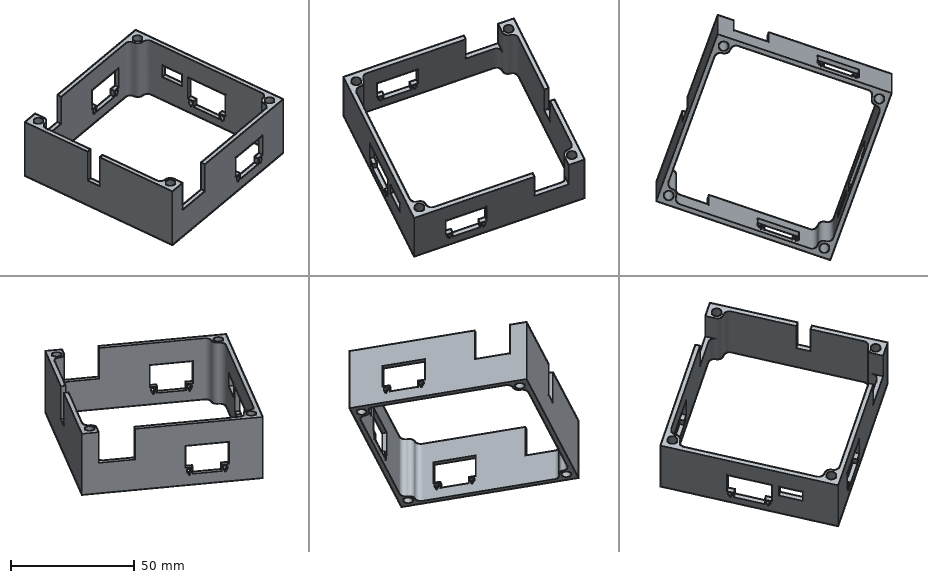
import cadquery as cq
import math

side = 75.0
height = 28.0
wall = 2.0
half = side / 2

screw_diameter = 4.0
screw_inset = 4.0
column_width = 7.0
column_radius = (column_width - wall) / 2

window_top = 18.0
window_lower_depth = 3.0
ear_hole_radius = 1.0
ear_hole_drop = 1.5

side_window_width = 18.0
side_window_lower_width = 12.0
side_window_shoulder = 8.0
side_ear_hole_spacing = 15.0
side_window_y = half - 23.0

back_window_width = 19.0
back_window_lower_width = 13.0
back_window_shoulder = 7.0
back_ear_hole_spacing = 16.0
back_window_x = 0.0

small_window_width = 10.0
small_window_height = 6.0
small_window_x = -17.5

side_notch_width = 15.0
side_notch_floor = height / 2
side_notch_y = -half + column_width + side_notch_width / 2
front_slot_width = 6.0
front_slot_floor = 13.0
front_slot_x = -2.5

cut_depth = 2 * wall


def block(width, bottom, top, depth):
    """Box centred on X and Y, reaching from bottom to top in Z."""
    return cq.Workplane("XY").box(width, depth, top - bottom, centered=(True, True, False)).translate(
        (0, 0, bottom)
    )


def make_column():
    """Solid column in the -X, -Y corner; its inner side is a rounded nose between two concave blends."""
    centre_inset = column_width - column_radius
    foot_inset = column_width + column_radius
    return (
        cq.Workplane("XY", origin=(-half, -half, 0))
        .lineTo(foot_inset, 0)
        .lineTo(foot_inset, wall)
        .radiusArc((column_width, centre_inset), column_radius)
        .radiusArc((centre_inset, column_width), -column_radius)
        .radiusArc((wall, foot_inset), column_radius)
        .lineTo(0, foot_inset)
        .close()
        .extrude(height)
    )


def make_frame():
    """Square ring with a drilled column in each corner."""
    inside = side - 2 * wall
    frame = cq.Workplane("XY").rect(side, side).rect(inside, inside).extrude(height)
    column = make_column()
    for quarter_turn in range(4):
        frame = frame.union(column.rotate((0, 0, 0), (0, 0, 1), 90 * quarter_turn))

    screw_spacing = side - 2 * screw_inset
    screw_square = cq.Workplane("XY").rect(screw_spacing, screw_spacing, forConstruction=True)
    screw_holes = screw_square.vertices().circle(screw_diameter / 2).extrude(height)
    return frame.cut(screw_holes)


def make_teardrop(x, z):
    """Hole along Y whose round top runs tangentially into a point one diameter below its centre."""
    radius = ear_hole_radius
    tip_depth = 2 * radius
    tangent_z = -(radius**2) / tip_depth
    tangent_x = math.sqrt(radius**2 - tangent_z**2)
    return (
        cq.Workplane("XZ")
        .moveTo(0, -tip_depth)
        .lineTo(tangent_x, tangent_z)
        .threePointArc((0, radius), (-tangent_x, tangent_z))
        .close()
        .extrude(cut_depth / 2, both=True)
        .translate((x, 0, z))
    )


def make_connector_window(width, lower_width, shoulder, hole_spacing):
    """Cutter for one connector window, centred on X = 0 and running along Y."""
    upper = block(width, shoulder, window_top, cut_depth)
    lower = block(lower_width, shoulder - window_lower_depth, shoulder, cut_depth)
    window = upper.union(lower)
    for x_sign in (-1, 1):
        window = window.union(make_teardrop(x_sign * hole_spacing / 2, shoulder - ear_hole_drop))
    return window


wall_centre = half - wall / 2
back_window = make_connector_window(
    back_window_width, back_window_lower_width, back_window_shoulder, back_ear_hole_spacing
)
side_window = make_connector_window(
    side_window_width, side_window_lower_width, side_window_shoulder, side_ear_hole_spacing
).rotate((0, 0, 0), (0, 0, 1), 90)
small_window = block(small_window_width, window_top - small_window_height, window_top, cut_depth)
side_notch = block(2 * column_width, side_notch_floor, height, side_notch_width)
front_slot = block(front_slot_width, front_slot_floor, height, cut_depth)

result = make_frame()
for x_sign in (-1, 1):
    result = result.cut(side_window.translate((x_sign * wall_centre, side_window_y, 0)))
    result = result.cut(side_notch.translate((x_sign * half, side_notch_y, 0)))
result = result.cut(back_window.translate((back_window_x, wall_centre, 0)))
result = result.cut(small_window.translate((small_window_x, wall_centre, 0)))
result = result.cut(front_slot.translate((front_slot_x, -wall_centre, 0)))